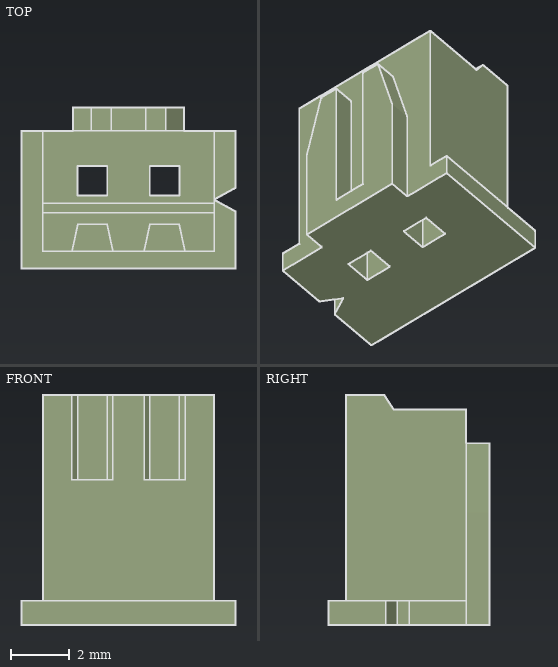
import cadquery as cq

flange_width = 7.3
flange_depth = 4.7
flange_height = 0.83

body_width = 5.84
body_front = 0.6
body_back = flange_depth
total_height = 7.85
rear_height = 7.355
step_top_y = 1.91
step_bottom_y = 2.23

contact_count = 2
contact_pitch = 2.46
hole_size = 1.005
hole_center_y = 3.0

slot_front_width = 1.4
slot_back_width = 1.0
slot_depth = 0.92
slot_floor = 4.96

latch_back = 5.5
latch_width = 3.8
latch_top_width = 2.53
latch_gap = 1.18
latch_height = 6.2
latch_shoulder = 3.85
latch_base_height = flange_height

notch_center_y = 2.355
notch_width = 0.8
notch_depth = (flange_width - body_width) / 2

contact_xs = [(i - (contact_count - 1) / 2) * contact_pitch for i in range(contact_count)]


def make_flange():
    plate = cq.Workplane("XY").rect(flange_width, flange_depth).extrude(flange_height)
    plate = plate.translate((0, flange_depth / 2, 0))
    edge = flange_width / 2
    notch = (
        cq.Workplane("XY")
        .moveTo(edge, notch_center_y - notch_width / 2)
        .lineTo(edge - notch_depth, notch_center_y)
        .lineTo(edge, notch_center_y + notch_width / 2)
        .close()
        .extrude(flange_height)
    )
    return plate.cut(notch)


def make_body():
    return (
        cq.Workplane("YZ")
        .polyline([
            (body_front, 0),
            (body_back, 0),
            (body_back, rear_height),
            (step_bottom_y, rear_height),
            (step_top_y, total_height),
            (body_front, total_height),
        ])
        .close()
        .extrude(body_width / 2, both=True)
    )


def make_latch():
    side = latch_width / 2
    top = latch_top_width / 2
    inner = latch_gap / 2
    return (
        cq.Workplane("XZ", origin=(0, latch_back, 0))
        .polyline([
            (-side, 0),
            (side, 0),
            (side, latch_shoulder),
            (top, latch_height),
            (inner, latch_height),
            (inner, latch_base_height),
            (-inner, latch_base_height),
            (-inner, latch_height),
            (-top, latch_height),
            (-side, latch_shoulder),
        ])
        .close()
        .extrude(latch_back - body_back)
    )


def make_contact_hole(x):
    return (
        cq.Workplane("XY")
        .center(x, hole_center_y)
        .rect(hole_size, hole_size)
        .extrude(total_height)
    )


def make_front_slot(x):
    slot_back = body_front + slot_depth
    return (
        cq.Workplane("XY", origin=(x, 0, slot_floor))
        .polyline([
            (-slot_front_width / 2, body_front),
            (slot_front_width / 2, body_front),
            (slot_back_width / 2, slot_back),
            (-slot_back_width / 2, slot_back),
        ])
        .close()
        .extrude(total_height - slot_floor)
    )


result = make_flange().union(make_body()).union(make_latch())
for contact_x in contact_xs:
    result = result.cut(make_contact_hole(contact_x))
    result = result.cut(make_front_slot(contact_x))